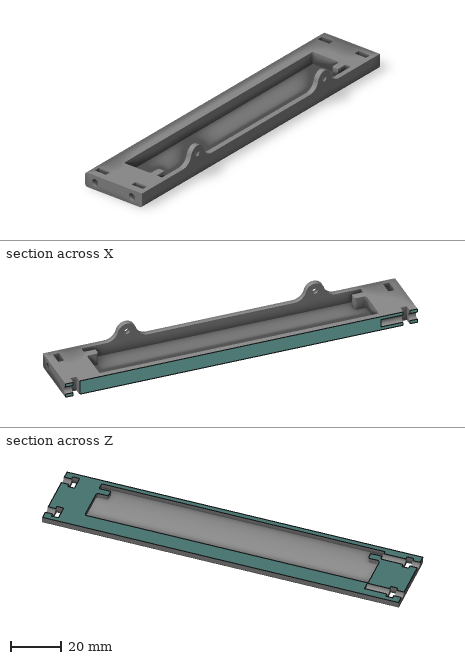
import cadquery as cq
import math

length = 150.0
width = 29.0
total_height = 13.5
body_height = 6.5
top_edge_radius = 1.0
bottom_edge_radius = 1.0

wall_thickness = 2.2
floor_thickness = 1.0
pocket_left = 7.2
pocket_right = width - wall_thickness
pocket_end_margin = 15.5
pocket_half_length = length / 2 - pocket_end_margin
pocket_corner_radius = 0.6
hook_left = 20.8
hook_right = 24.0
hook_length = 5.0
hook_corner_radius = 1.0

fixing_x = (5.1, 23.8)
slot_width = 5.8
slot_length = 2.7
slot_end_distance = 4.6
screw_diameter = 3.2
screw_height = body_height / 2
near_screw_depth = pocket_end_margin
far_screw_depth = slot_end_distance + slot_length / 2

ear_y = 40.0
ear_half_base = 9.0
ear_radius = 4.0
ear_hole_diameter = 2.4
ear_hole_z = 9.9
ear_center_z = total_height - ear_radius
ear_center_rise = ear_center_z - body_height
flare_radius = (ear_half_base**2 + ear_center_rise**2 - ear_radius**2) / (2 * (ear_radius + ear_center_rise))


def make_body():
    body = cq.Workplane("XY").box(width, length, body_height, centered=(False, True, False))
    body = body.edges("|Y and <X and >Z").fillet(top_edge_radius)
    return body.edges("|Y and <Z").fillet(bottom_edge_radius)


def upright_box(x_min, x_max, y_min, y_max, z_min):
    """Box from z_min up to the tray top."""
    size = (x_max - x_min, y_max - y_min, body_height - z_min)
    return cq.Workplane("XY").box(*size, centered=False).translate((x_min, y_min, z_min))


def make_pocket():
    end = pocket_half_length
    tip = end - hook_length
    pocket = upright_box(pocket_left, pocket_right, -end, end, floor_thickness)
    pocket = pocket.edges("|Z and <X").fillet(pocket_corner_radius)
    for y_min, y_max in ((tip, end), (-end, -tip)):
        pocket = pocket.cut(upright_box(hook_left, hook_right, y_min, y_max, floor_thickness))
    mid_z = (floor_thickness + body_height) / 2
    for y in (tip, end, -tip, -end):
        corner = cq.selectors.NearestToPointSelector((hook_left, y, mid_z))
        pocket = pocket.edges(corner).fillet(hook_corner_radius)
    return pocket


def make_slots():
    slot_y = length / 2 - slot_end_distance
    centers = [(x, y) for x in fixing_x for y in (-slot_y, slot_y)]
    return cq.Workplane("XY").pushPoints(centers).rect(slot_width, slot_length).extrude(body_height)


def make_screw_holes(end_y, depth):
    """Holes from an end face; positive depth runs toward -Y."""
    centers = [(x, screw_height) for x in fixing_x]
    plane = cq.Workplane("XZ", origin=(0, end_y, 0))
    return plane.pushPoints(centers).circle(screw_diameter / 2).extrude(depth)


def make_ear(center_y):
    reach = ear_radius / (ear_radius + flare_radius)
    join_y = ear_half_base * reach
    join_z = ear_center_z + (flare_radius - ear_center_rise) * reach
    flare_angle = math.atan2(join_y - ear_half_base, body_height + flare_radius - join_z)
    middle_y = ear_half_base + flare_radius * math.sin(flare_angle / 2)
    middle_z = body_height + flare_radius * (1 - math.cos(flare_angle / 2))
    ear = (
        cq.Workplane("YZ", origin=(pocket_right, center_y, 0))
        .moveTo(-ear_half_base, body_height)
        .threePointArc((-middle_y, middle_z), (-join_y, join_z))
        .threePointArc((0, total_height), (join_y, join_z))
        .threePointArc((middle_y, middle_z), (ear_half_base, body_height))
        .close()
        .extrude(wall_thickness)
    )
    hole = (
        cq.Workplane("YZ", origin=(pocket_right, center_y, ear_hole_z))
        .circle(ear_hole_diameter / 2)
        .extrude(wall_thickness)
    )
    return ear.cut(hole)


result = make_body().cut(make_pocket()).cut(make_slots())
result = result.cut(make_screw_holes(-length / 2, -near_screw_depth))
result = result.cut(make_screw_holes(length / 2, far_screw_depth))
for y in (-ear_y, ear_y):
    result = result.union(make_ear(y))